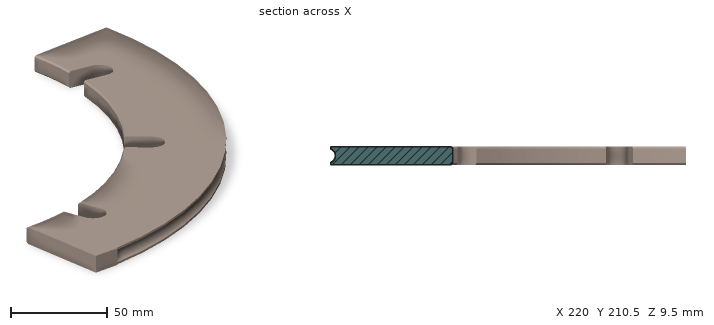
import cadquery as cq
import math

outer_radius = 210.5
inner_radius = 157.5
thickness = 9.5
overall_length = 220.0
sector_angle = 90 + math.degrees(math.asin((overall_length - outer_radius) / outer_radius))

bore_chamfer = 0.9

slot_width = 14.3
slot_centre_radius = 171.5
slot_pitch_angle = 33.6
slot_count = 3

groove_depth = 2.2
groove_opening = 7.0
end_block_length = 15.5


def sector_profile():
    """Radial cross-section in the XZ plane, with a chamfered bore and a plain rim."""
    return (
        cq.Workplane("XZ")
        .moveTo(inner_radius + bore_chamfer, 0)
        .lineTo(outer_radius, 0)
        .lineTo(outer_radius, thickness)
        .lineTo(inner_radius + bore_chamfer, thickness)
        .lineTo(inner_radius, thickness - bore_chamfer)
        .lineTo(inner_radius, bore_chamfer)
        .close()
    )


def revolve_about_z(profile):
    """Sweep a cross-section from the +X axis round to the far end."""
    return profile.revolve(sector_angle, (0, 0, 0), (0, 1, 0))


def rim_groove():
    """Arc-bottomed groove centred on the thickness of the rim."""
    middle = thickness / 2
    low = middle - groove_opening / 2
    high = middle + groove_opening / 2
    profile = (
        cq.Workplane("XZ")
        .moveTo(outer_radius, low)
        .threePointArc((outer_radius - groove_depth, middle), (outer_radius, high))
        .lineTo(outer_radius + groove_depth, high)
        .lineTo(outer_radius + groove_depth, low)
        .close()
    )
    return revolve_about_z(profile)


def end_block():
    """Solid corner that squares off the rim at the start of the sector."""
    width = 2 * groove_depth
    return (
        cq.Workplane("XY")
        .box(width, end_block_length, thickness, centered=False)
        .translate((outer_radius - width, 0, 0))
    )


def slot(angle):
    """Radial through slot with a round outer end."""
    bar = (
        cq.Workplane("XY")
        .box(slot_centre_radius, slot_width, thickness, centered=(False, True, False))
    )
    tip = cq.Workplane("XY").center(slot_centre_radius, 0).circle(slot_width / 2).extrude(thickness)
    return bar.union(tip).rotate((0, 0, 0), (0, 0, 1), angle)


result = revolve_about_z(sector_profile())
result = result.cut(rim_groove())
result = result.union(end_block())

first_slot_angle = sector_angle / 2 - slot_pitch_angle * (slot_count - 1) / 2
for index in range(slot_count):
    result = result.cut(slot(first_slot_angle + index * slot_pitch_angle))